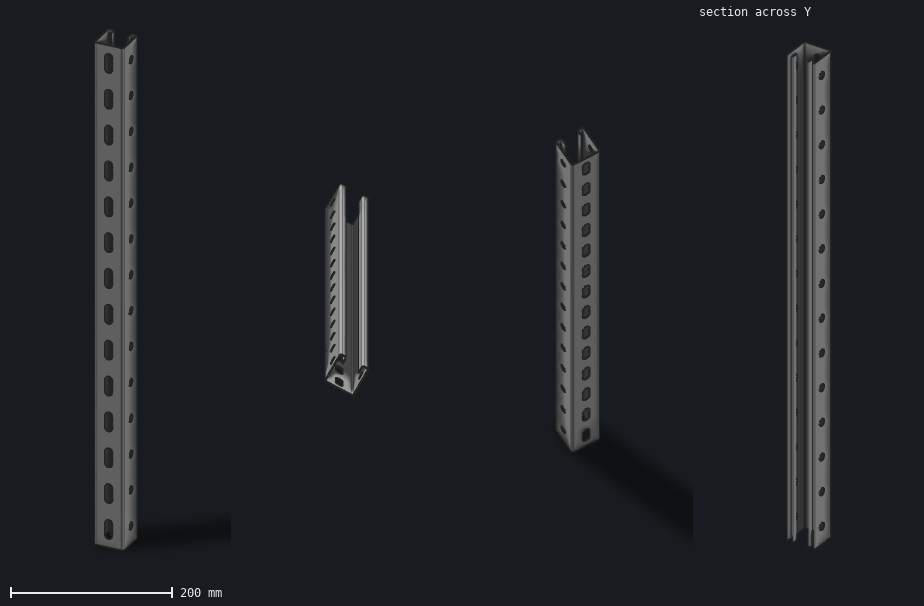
import cadquery as cq

length = 700.0
width = 41.0
depth = 41.0
thickness = 1.5
bend_radius = 3.15
lip_width = 10.0
lip_depth = 10.5

hole_count = 14
hole_pitch = length / hole_count
hole_diameter = 10.5
hole_offset = 1.0
slot_gap = 23.0
slot_length = hole_pitch - slot_gap


def block(x_size, y_size, x_center, y_min):
    """Full-length block standing on the XY plane."""
    return (
        cq.Workplane("XY")
        .center(x_center, y_min + y_size / 2)
        .rect(x_size, y_size)
        .extrude(length)
    )


def rounded_block(x_size, y_size, x_center, y_min, radius):
    """Full-length block with rounded lengthwise edges."""
    return block(x_size, y_size, x_center, y_min).edges("|Z").fillet(radius)


def channel():
    """U channel with lips turned in and back along both open edges."""
    y_back = -depth / 2
    y_open = depth / 2
    inner_radius = bend_radius - thickness
    body = rounded_block(width, depth, 0, y_back, bend_radius)

    cavity = rounded_block(
        width - 2 * thickness, depth - 2 * thickness, 0, y_back + thickness, inner_radius
    )
    mouth = block(width - 2 * lip_width, depth / 2, 0, y_open - depth / 2)
    body = body.cut(cavity).cut(mouth)

    for side in (-1, 1):
        x_center = side * (width - lip_width) / 2
        y_min = y_open - 2 * lip_depth
        outside = rounded_block(lip_width, 2 * lip_depth, x_center, y_min, bend_radius)
        inside = rounded_block(
            lip_width - 2 * thickness,
            2 * (lip_depth - thickness),
            x_center,
            y_min + thickness,
            inner_radius,
        )
        lip_zone = block(lip_width, lip_depth, x_center, y_open - lip_depth)
        body = body.cut(lip_zone).union(outside.cut(inside).intersect(lip_zone))
    return body


def hole_points():
    """Places of the holes along the channel, half a pitch in from each end."""
    return [(0, (index + 0.5) * hole_pitch) for index in range(hole_count)]


def web_slots():
    """Cutter for the lengthwise slots through the web."""
    return (
        cq.Workplane("XZ")
        .pushPoints(hole_points())
        .slot2D(slot_length, hole_diameter, 90)
        .extrude(depth)
    )


def flange_holes():
    """Cutter for the round holes through both flanges."""
    return (
        cq.Workplane("YZ")
        .center(hole_offset, 0)
        .pushPoints(hole_points())
        .circle(hole_diameter / 2)
        .extrude(width, both=True)
    )


result = channel().cut(web_slots()).cut(flange_holes())